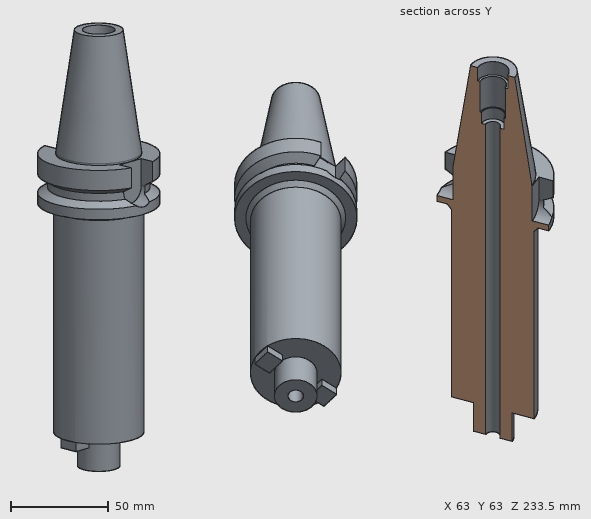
import cadquery as cq

total_height = 233.5

pilot_radius = 11.0
pilot_height = 18.2
body_radius = 23.3

taper_top_radius = 12.5
taper_base_radius = 22.2
taper_length = 65.4
neck_height = 1.0

flange_radius = 31.5
groove_radius = 26.4
upper_rim_depth = 10.7
groove_top_depth = 13.8
groove_bottom_depth = 18.0
lower_rim_depth = 20.8
flange_underside_depth = 26.4
flange_cone_end_depth = 29.2
flange_cone_radius = 25.7

slot_width = 16.0
slot_depth = 22.5
slot_floor_distance = 22.5

key_width = 10.5
key_height = 5.0
key_inner_distance = 13.0
key_outer_distance = 22.9

entry_radius = 8.5
entry_depth = 8.5
thread_radius = 7.0
thread_depth = 28.0
relief_radius = 6.3
relief_depth = 35.0
through_radius = 4.0

flange_top = total_height - taper_length - neck_height


def make_turned_body():
    """Revolve the outer profile of pilot, body, flange and taper about Z."""
    profile = [
        (0, 0),
        (pilot_radius, 0),
        (pilot_radius, pilot_height),
        (body_radius, pilot_height),
        (body_radius, flange_top - flange_cone_end_depth),
        (flange_cone_radius, flange_top - flange_underside_depth),
        (flange_radius, flange_top - flange_underside_depth),
        (flange_radius, flange_top - lower_rim_depth),
        (groove_radius, flange_top - groove_bottom_depth),
        (groove_radius, flange_top - groove_top_depth),
        (flange_radius, flange_top - upper_rim_depth),
        (flange_radius, flange_top),
        (taper_base_radius, flange_top),
        (taper_base_radius, flange_top + neck_height),
        (taper_top_radius, total_height),
        (0, total_height),
    ]
    return cq.Workplane("XZ").polyline(profile).close().revolve(360, (0, 0), (0, 1))


def make_driving_slot():
    """Round-ended slot cutter on the +X side, open at the flange top."""
    half_width = slot_width / 2
    slot_bottom = flange_top - slot_depth
    arc_start = slot_bottom + half_width
    return (
        cq.Workplane("YZ", origin=(slot_floor_distance, 0, 0))
        .moveTo(-half_width, flange_top)
        .lineTo(-half_width, arc_start)
        .threePointArc((0, slot_bottom), (half_width, arc_start))
        .lineTo(half_width, flange_top)
        .close()
        .extrude(flange_radius)
    )


def make_drive_key():
    """Rectangular key on the +Y side, hanging below the body."""
    return cq.Workplane("XY").box(
        key_width, key_outer_distance - key_inner_distance, key_height, centered=(True, False, False)
    ).translate((0, key_inner_distance, pilot_height - key_height))


def make_bore():
    """Stepped bore: entry, thread and relief steps, then a through hole."""
    top = cq.Workplane("XY", origin=(0, 0, total_height))
    bore = top.circle(through_radius).extrude(-total_height)
    for radius, depth in [
        (entry_radius, entry_depth),
        (thread_radius, thread_depth),
        (relief_radius, relief_depth),
    ]:
        bore = bore.union(top.circle(radius).extrude(-depth))
    return bore


result = make_turned_body()
for angle in (0, 180):
    result = result.cut(make_driving_slot().rotate((0, 0, 0), (0, 0, 1), angle))
    result = result.union(make_drive_key().rotate((0, 0, 0), (0, 0, 1), angle))
result = result.cut(make_bore())